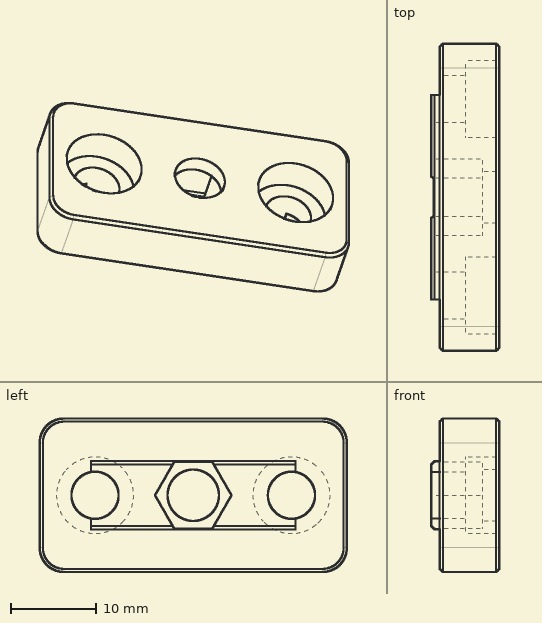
import cadquery as cq

BODY_LENGTH = 36.0
BODY_HEIGHT = 18.0
BODY_THICKNESS = 7.0
CORNER_RADIUS = 2.87
BODY_CHAMFER = 0.38

RIB_LENGTH = 24.0
RIB_HEIGHT = 8.0
RIB_PROTRUSION = 1.0
RIB_CHAMFER = 0.4

SIDE_HOLE_DIAMETER = 5.5
SIDE_HOLE_SPACING = 23.0
COUNTERBORE_DIAMETER = 9.0
COUNTERBORE_DEPTH = 4.0
CENTER_HOLE_DIAMETER = 6.0

NUT_CORNER_DIAMETER = 8.96
NUT_POCKET_DEPTH = 6.0

BODY_FRONT_X = 0.0
BODY_BACK_X = BODY_FRONT_X + BODY_THICKNESS
RIB_FRONT_X = BODY_FRONT_X - RIB_PROTRUSION
TOTAL_THICKNESS = BODY_THICKNESS + RIB_PROTRUSION


def make_body():
    """Rounded rectangular block with both large faces chamfered all round."""
    plane = cq.Workplane("YZ", origin=(BODY_FRONT_X, 0, 0))
    block = plane.rect(BODY_LENGTH, BODY_HEIGHT).extrude(BODY_THICKNESS)
    block = block.edges("|X").fillet(CORNER_RADIUS)
    return block.faces("<X or >X").chamfer(BODY_CHAMFER)


def make_rib():
    """Locating rib on the front face, with its two long outer edges chamfered."""
    plane = cq.Workplane("YZ", origin=(RIB_FRONT_X, 0, 0))
    rib = plane.rect(RIB_LENGTH, RIB_HEIGHT).extrude(2 * RIB_PROTRUSION)
    return rib.faces("<X").edges("|Y").chamfer(RIB_CHAMFER)


def make_through_hole(diameter, center_y):
    """Cutter for a hole along X through rib and body."""
    plane = cq.Workplane("YZ", origin=(RIB_FRONT_X, center_y, 0))
    return plane.circle(diameter / 2).extrude(TOTAL_THICKNESS)


def make_counterbore(center_y):
    """Cutter for a screw-head recess sunk into the body's back face."""
    plane = cq.Workplane("YZ", origin=(BODY_BACK_X, center_y, 0))
    return plane.circle(COUNTERBORE_DIAMETER / 2).extrude(-COUNTERBORE_DEPTH)


def make_nut_pocket():
    """Cutter for the hexagonal nut pocket, with corners pointing along Y."""
    plane = cq.Workplane("YZ", origin=(RIB_FRONT_X, 0, 0))
    return plane.polygon(6, NUT_CORNER_DIAMETER).extrude(NUT_POCKET_DEPTH)


result = make_body().union(make_rib())
for side in (-1, 1):
    hole_y = side * SIDE_HOLE_SPACING / 2
    result = result.cut(make_through_hole(SIDE_HOLE_DIAMETER, hole_y))
    result = result.cut(make_counterbore(hole_y))
result = result.cut(make_through_hole(CENTER_HOLE_DIAMETER, 0))
result = result.cut(make_nut_pocket())